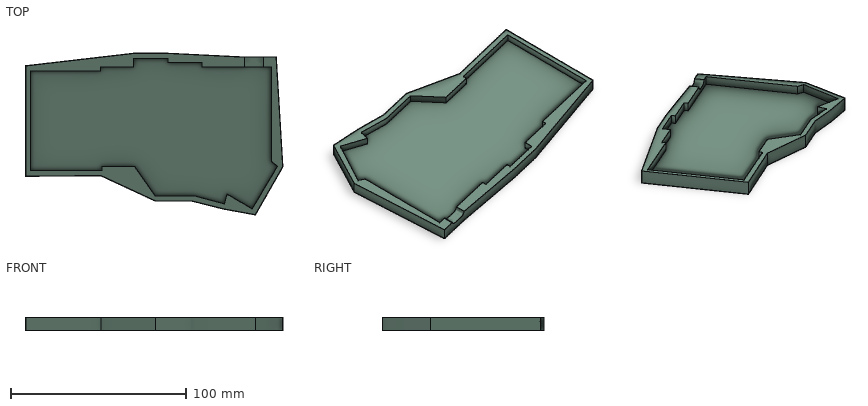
import cadquery as cq
import math

LENGTH = 146.83
WIDTH = 92.24
HEIGHT = 7.5
FLOOR_THICKNESS = 2.8

TIP_Y = -22.0
BACK_Y = TIP_Y + WIDTH
BACK_RIGHT_Y = 68.1
FRONT_LEDGE_Y = -14.1

POCKET_LEFT_X = 2.7
POCKET_RIGHT_X = 140.3
FIRST_STEP_X = 42.8
CREST_LEFT_X = 61.7
CREST_RIGHT_X = 81.4
LAST_STEP_X = 100.8
POCKET_BACK_LEFT_Y = 60.2
POCKET_BACK_Y = 62.5
POCKET_SHOULDER_Y = 64.9
POCKET_CREST_Y = 67.2
POCKET_FRONT_LEFT_Y = 3.3
POCKET_FRONT_STEP_X = 43.6
POCKET_FRONT_STEP_Y = 5.5
POCKET_LEDGE_Y = -11.1

NOTCH_CENTRE_X = 130.35
NOTCH_FLOOR_WIDTH = 5.0
NOTCH_DEPTH = 2.4
NOTCH_CORNER_RADIUS = 3.0

OUTER_OUTLINE = [
    (0, 0),
    (43.0, 0.3),
    (74.0, FRONT_LEDGE_Y),
    (94.8, FRONT_LEDGE_Y),
    (113.0, -18.7),
    (131.1, TIP_Y),
    (LENGTH, 5.5),
    (143.05, BACK_RIGHT_Y),
    (124.6, BACK_RIGHT_Y),
    (CREST_RIGHT_X, BACK_Y),
    (CREST_LEFT_X, BACK_Y),
    (0, 63.1),
]

POCKET_OUTLINE = [
    (POCKET_LEFT_X, POCKET_FRONT_LEFT_Y),
    (POCKET_FRONT_STEP_X, POCKET_FRONT_LEFT_Y),
    (POCKET_FRONT_STEP_X, POCKET_FRONT_STEP_Y),
    (62.3, POCKET_FRONT_STEP_Y),
    (73.9, POCKET_LEDGE_Y),
    (96.2, POCKET_LEDGE_Y),
    (113.5, -15.7),
    (114.9, -10.1),
    (129.3, -18.5),
    (143.7, 5.75),
    (POCKET_RIGHT_X, 8.4),
    (POCKET_RIGHT_X, POCKET_BACK_Y),
    (LAST_STEP_X, POCKET_BACK_Y),
    (LAST_STEP_X, POCKET_SHOULDER_Y),
    (CREST_RIGHT_X, POCKET_SHOULDER_Y),
    (CREST_RIGHT_X, POCKET_CREST_Y),
    (CREST_LEFT_X, POCKET_CREST_Y),
    (CREST_LEFT_X, POCKET_BACK_Y),
    (FIRST_STEP_X, POCKET_BACK_Y),
    (FIRST_STEP_X, POCKET_BACK_LEFT_Y),
    (POCKET_LEFT_X, POCKET_BACK_LEFT_Y),
]


def prism(outline, bottom_z, top_z):
    """Extrude a closed XY outline between two heights."""
    return (
        cq.Workplane("XY")
        .workplane(offset=bottom_z)
        .polyline(outline)
        .close()
        .extrude(top_z - bottom_z)
    )


def cable_notch():
    """Flat-bottomed channel along Y whose sides curve up, tangent to its floor, to the rim."""
    floor_z = HEIGHT - NOTCH_DEPTH
    floor_half = NOTCH_FLOOR_WIDTH / 2
    sweep = math.acos(1 - NOTCH_DEPTH / NOTCH_CORNER_RADIUS)

    def side_point(side, angle):
        x = NOTCH_CENTRE_X + side * (floor_half + NOTCH_CORNER_RADIUS * math.sin(angle))
        z = floor_z + NOTCH_CORNER_RADIUS * (1 - math.cos(angle))
        return (x, z)

    return (
        cq.Workplane("XZ", origin=(0, BACK_Y, 0))
        .moveTo(*side_point(-1, 0))
        .lineTo(*side_point(1, 0))
        .threePointArc(side_point(1, sweep / 2), side_point(1, sweep))
        .lineTo(*side_point(-1, sweep))
        .threePointArc(side_point(-1, sweep / 2), side_point(-1, 0))
        .close()
        .extrude(BACK_Y - POCKET_BACK_Y)
    )


tray = prism(OUTER_OUTLINE, 0, HEIGHT)
pocket = prism(POCKET_OUTLINE, FLOOR_THICKNESS, HEIGHT)
result = tray.cut(pocket).cut(cable_notch())